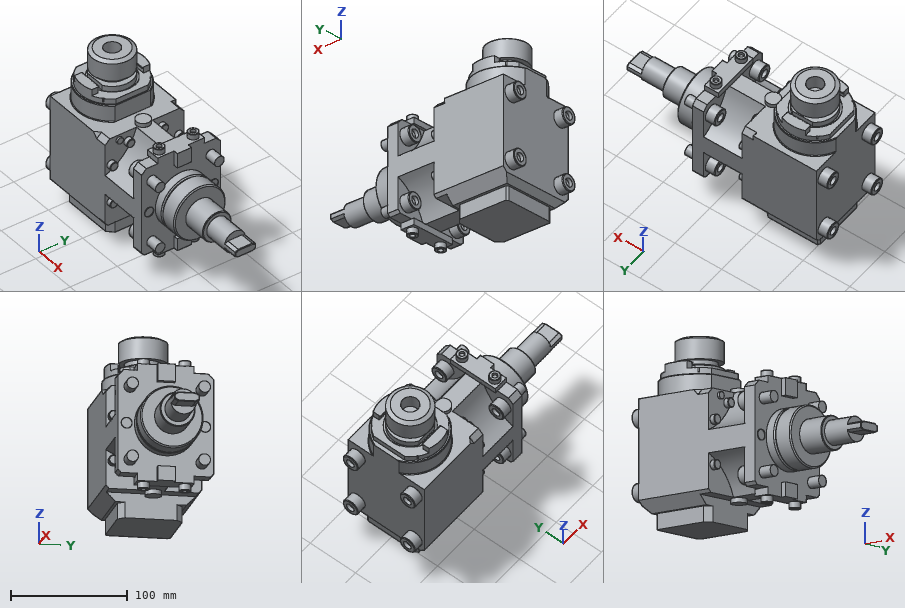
import cadquery as cq
import math


half_width = 84.0 / 2
housing_top = 47.4
rear_bottom = -44.3
bottom_edge_z = -41.5
head_bottom = -52.3
head_end = 67.7
housing_end = 79.8
front_bevel_length = 5.5
front_bevel_height = 6.6
top_chamfer = 5.0

flange_start = 120.8
flange_end = 132.8
web_half_width = 8.5
web_half_height = 10.2
relief_radius = 59.2

foot_start = 7.5
foot_half_width = 28.5
foot_bottom = -66.3
foot_front_chamfer = (1.7, 2.5)
foot_rear_chamfer = (5.7, 5.7)

spindle_x = 32.7
collar_radius = 35.5
collar_base_flare = 0.7
collar_top = 64.6
collar_chamfer = 0.7
collar_rear_flat = 62.8
ring_radius = 33.5
ring_top = 70.0
ring_half_flats = 28.7
boss_radius = 42.5 / 2
boss_half_flats = 36.7 / 2
boss_top = 74.5
groove_radius = 23.2
groove_depth = 1.2
key_width = 25.0
key_top = 76.5
key_lip = 1.2
key_inner_y = 23.0
key_relief_y = 24.2
notch_width = 1.2
notch_height = 3.5
notch_depth = 0.7
notch_angle = 50.0
nut_neck_radius = 32.5 / 2
nut_neck_taper = 1.2
nut_radius = 42.5 / 2
nut_bottom = 80.3
nut_top = 100.6
nut_chamfer_width = 4.0
nut_chamfer_height = 2.1
nut_bore_radius = 16.3 / 2
nut_bore_depth = 14.2

pilot_radius = 27.5
pilot_end = 160.3
pilot_chamfer = 1.2
pilot_groove_start = 141.1
pilot_groove_end = 144.0
pilot_groove_depth = 1.0
journal_radius = 30.5 / 2
journal_end = 185.2
journal_chamfer = 0.7
shaft_radius = 11.1
shaft_end = 211.0
tang_end = 226.5
tang_half_height = 4.0
tang_half_face = 15.0 / 2
tang_half_edge = 2.1
tang_end_chamfer = 0.7

socket_cone_slope = 0.6
screw_y = 31.5
screw_z = 32.5
screw_head_radius = 8.3
screw_head_length = 10.2
screw_head_chamfer = 0.7
screw_socket_radius = 8.3 / 2
screw_socket_depth = 3.5
screw_tail_radius = 10.2 / 2
screw_tail_end = 145.5

cover_screw_circle = 41.0
cover_screw_radius = 4.3
cover_screw_length = 5.0
cover_screw_chamfer = 0.5
cover_screw_angles = (29, 64, 116, 151, 209, 331)
plug_radius = 6.5 / 2
plug_length = 2.1
plug_place = (-27.2, 42.2)

dowel_x = 77.7
dowel_radius = 14.5 / 2
dowel_protrusion = 4.0
side_pin_y = 34.3
side_pin_radius = 4.7
side_pin_protrusion = 0.7

bar_start = 118.0
bar_half_length = 24.9
bar_top = 53.3
bar_bottom = -50.7
tab_end = 137.5
tab_half_width = 7.5
tab_inner_z = 38.0
bar_screw_x = 125.5
bar_screw_y = 36.2 / 2
bar_screw_radius = 5.2
bar_screw_protrusion = 5.7
bar_screw_chamfer = 0.5
bar_screw_socket_radius = 2.5
bar_screw_socket_depth = 2.8

overlap = 1.2


def box(x0, x1, y0, y1, z0, z1):
    return cq.Workplane("XY").box(x1 - x0, y1 - y0, z1 - z0, centered=False).translate((x0, y0, z0))


def rod_x(radius, x0, x1, y=0.0, z=0.0):
    return cq.Workplane("YZ", origin=(x0, y, z)).circle(radius).extrude(x1 - x0)


def rod_z(radius, z0, z1, x, y=0.0):
    return cq.Workplane("XY", origin=(x, y, z0)).circle(radius).extrude(z1 - z0)


def socket(radius, depth):
    """Round socket with a conical bottom, opening at the origin and running along +X."""
    return (
        cq.Workplane("XY")
        .polyline([(0, 0), (0, radius), (depth, radius), (depth + radius * socket_cone_slope, 0)])
        .close()
        .revolve(360, (0, 0, 0), (1, 0, 0))
    )


def corners(y, z):
    return [(sy * y, sz * z) for sy in (-1, 1) for sz in (-1, 1)]


def body_section(bottom):
    """Cross section in Y and Z with 45 degree bottom edges ending at the given height."""
    bottom_half_width = half_width - (bottom_edge_z - bottom)
    return [
        (-half_width, housing_top),
        (half_width, housing_top),
        (half_width, bottom_edge_z),
        (bottom_half_width, bottom),
        (-bottom_half_width, bottom),
        (-half_width, bottom_edge_z),
    ]


def body_prism(x0, x1, bottom):
    return cq.Workplane("YZ", origin=(x0, 0, 0)).polyline(body_section(bottom)).close().extrude(x1 - x0)


def top_edge_prism(side):
    """Chamfer cutter for one top long edge, from the end of the head to the end of the flange."""
    return (
        cq.Workplane("YZ", origin=(head_end, 0, 0))
        .moveTo(side * half_width, housing_top)
        .lineTo(side * (half_width - top_chamfer), housing_top)
        .lineTo(side * half_width, housing_top - top_chamfer)
        .close()
        .extrude(flange_end - head_end)
    )


def make_runout():
    """Tetrahedron that ends the chamfer at -Y on a sloped triangle."""
    corner = cq.Vector(head_end, -half_width, housing_top)
    tip = corner + cq.Vector(-top_chamfer, 0, 0)
    inner = corner + cq.Vector(0, top_chamfer, 0)
    lower = corner + cq.Vector(0, 0, -top_chamfer)
    triangles = [(corner, tip, inner), (corner, lower, tip), (corner, inner, lower), (tip, lower, inner)]
    faces = [cq.Face.makeFromWires(cq.Wire.makePolygon(points, close=True)) for points in triangles]
    return cq.Workplane(cq.Solid.makeSolid(cq.Shell.makeShell(faces)))


def make_neck_relief():
    """Concave cutter for the neck corner at +Y +Z."""
    top = (web_half_width, housing_top)
    side = (half_width, web_half_height)
    chord = math.dist(top, side)
    sag = relief_radius - math.sqrt(relief_radius ** 2 - (chord / 2) ** 2)
    middle = (
        (top[0] + side[0]) / 2 - sag * (top[1] - side[1]) / chord,
        (top[1] + side[1]) / 2 - sag * (side[0] - top[0]) / chord,
    )
    far = half_width + overlap
    high = housing_top + overlap
    return (
        cq.Workplane("YZ", origin=(housing_end, 0, 0))
        .moveTo(*top)
        .threePointArc(middle, side)
        .lineTo(far, web_half_height)
        .lineTo(far, high)
        .lineTo(web_half_width, high)
        .close()
        .extrude(flange_start - housing_end)
    )


def make_housing():
    head = body_prism(0, head_end, head_bottom)
    bevel = (
        cq.Workplane("XZ")
        .moveTo(0, head_bottom)
        .lineTo(front_bevel_length, head_bottom)
        .lineTo(0, head_bottom + front_bevel_height)
        .close()
        .extrude(half_width, both=True)
    )
    body = head.cut(bevel).union(body_prism(0, flange_end, rear_bottom))
    body = body.cut(top_edge_prism(-1)).cut(top_edge_prism(1)).cut(make_runout())
    relief = make_neck_relief()
    for cutter in (relief, relief.mirror("XZ")):
        body = body.cut(cutter).cut(cutter.mirror("XY"))
    return body


def make_foot():
    dx_front, dy_front = foot_front_chamfer
    dx_rear, dy_rear = foot_rear_chamfer
    half = [
        (foot_start, foot_half_width - dy_front),
        (foot_start + dx_front, foot_half_width),
        (head_end - dx_rear, foot_half_width),
        (head_end, foot_half_width - dy_rear),
    ]
    outline = half + [(x, -y) for x, y in reversed(half)]
    height = head_bottom + overlap - foot_bottom
    return cq.Workplane("XY", origin=(0, 0, foot_bottom)).polyline(outline).close().extrude(height)


def make_collar():
    collar = rod_z(collar_radius, housing_top - overlap, collar_top, spindle_x)
    collar = collar.faces(">Z").chamfer(collar_chamfer)
    flare_top = housing_top + collar_base_flare
    flare = rod_z(collar_radius + collar_base_flare, housing_top - overlap, flare_top, spindle_x)
    flare = flare.faces(">Z").chamfer(collar_base_flare)
    collar = collar.union(flare)
    return collar.intersect(box(0, collar_rear_flat, -half_width, half_width, 0, nut_top))


def make_ring():
    """Flatted disc with a central boss, two driving keys and four rim notches."""
    ring = rod_z(ring_radius, collar_top - overlap, key_top, spindle_x)
    ring = ring.intersect(
        box(spindle_x - ring_half_flats, spindle_x + ring_half_flats, -half_width, half_width, 0, nut_top)
    )
    for side in (-1, 1):
        edge = spindle_x + side * key_width / 2
        outer = spindle_x + side * half_width
        ring = ring.cut(
            box(min(edge, outer), max(edge, outer), -half_width, half_width, ring_top, key_top)
        )
    for inner_y, top in ((key_inner_y, key_top), (key_relief_y, key_top - key_lip)):
        ring = ring.cut(
            box(spindle_x - half_width, spindle_x + half_width, -inner_y, inner_y, ring_top, top)
        )
    ring = ring.cut(rod_z(groove_radius, ring_top - groove_depth, ring_top, spindle_x))
    boss = rod_z(boss_radius, ring_top - groove_depth - overlap, boss_top, spindle_x)
    boss = boss.intersect(
        box(0, 2 * spindle_x, -boss_half_flats, boss_half_flats, 0, nut_top)
    )
    ring = ring.union(boss)
    for angle in (notch_angle, 180 - notch_angle, 180 + notch_angle, -notch_angle):
        notch = box(
            ring_radius - notch_depth, ring_radius + overlap,
            -notch_width / 2, notch_width / 2,
            ring_top - notch_height, ring_top,
        )
        ring = ring.cut(notch.rotate((0, 0, 0), (0, 0, 1), angle).translate((spindle_x, 0, 0)))
    return ring


def make_nut():
    profile = [
        (0, boss_top - overlap),
        (nut_neck_radius - nut_neck_taper, boss_top - overlap),
        (nut_neck_radius - nut_neck_taper, boss_top),
        (nut_neck_radius, key_top),
        (nut_neck_radius, nut_bottom),
        (nut_radius, nut_bottom),
        (nut_radius, nut_top - nut_chamfer_height),
        (nut_radius - nut_chamfer_width, nut_top),
        (0, nut_top),
    ]
    nut = cq.Workplane("XZ").polyline(profile).close().revolve(360, (0, 0, 0), (0, 1, 0))
    nut = nut.translate((spindle_x, 0, 0))
    return nut.cut(rod_z(nut_bore_radius, nut_top - nut_bore_depth, nut_top, spindle_x))


def make_shaft():
    pilot = rod_x(pilot_radius, flange_end - overlap, pilot_end).faces(">X").chamfer(pilot_chamfer)
    groove = (
        cq.Workplane("XY")
        .moveTo(pilot_groove_start, pilot_radius)
        .lineTo((pilot_groove_start + pilot_groove_end) / 2, pilot_radius - pilot_groove_depth)
        .lineTo(pilot_groove_end, pilot_radius)
        .close()
        .revolve(360, (0, 0, 0), (1, 0, 0))
    )
    journal = rod_x(journal_radius, pilot_end - overlap, journal_end).faces(">X").chamfer(journal_chamfer)
    shaft = rod_x(shaft_radius, journal_end - overlap, shaft_end)
    tang_section = [
        (-shaft_radius, tang_half_edge),
        (-tang_half_face, tang_half_height),
        (tang_half_face, tang_half_height),
        (shaft_radius, tang_half_edge),
        (shaft_radius, -tang_half_edge),
        (tang_half_face, -tang_half_height),
        (-tang_half_face, -tang_half_height),
        (-shaft_radius, -tang_half_edge),
    ]
    tang = (
        cq.Workplane("YZ", origin=(shaft_end - overlap, 0, 0))
        .polyline(tang_section)
        .close()
        .extrude(tang_end - shaft_end + overlap)
        .intersect(rod_x(shaft_radius, 0, tang_end))
        .faces(">X")
        .chamfer(tang_end_chamfer)
    )
    return pilot.cut(groove).union(journal).union(shaft).union(tang)


def make_screw_head(seat_x, y, z):
    """Socket head facing -X, resting on a face at seat_x."""
    top = seat_x - screw_head_length
    head = rod_x(screw_head_radius, top, seat_x + overlap, y, z).faces("<X").chamfer(screw_head_chamfer)
    return head.cut(socket(screw_socket_radius, screw_socket_depth).translate((top, y, z)))


def make_bar(seat, outer):
    """Clamp bar between two heights, with its tab over the flange and two socket screws."""
    bar = box(bar_start, flange_end, -bar_half_length, bar_half_length, seat, outer)
    bar = bar.union(
        box(flange_end - overlap, tab_end, -tab_half_width, tab_half_width, tab_inner_z, outer)
    )
    screw_top = outer + bar_screw_protrusion
    for y in (-bar_screw_y, bar_screw_y):
        screw = rod_z(bar_screw_radius, seat, screw_top, bar_screw_x, y)
        bar = bar.union(screw.faces(">Z").chamfer(bar_screw_chamfer))
        downward = socket(bar_screw_socket_radius, bar_screw_socket_depth).rotate((0, 0, 0), (0, 1, 0), 90)
        bar = bar.cut(downward.translate((bar_screw_x, y, screw_top)))
    return bar


result = make_housing().union(make_foot())
result = result.union(make_collar()).union(make_ring()).union(make_nut()).union(make_shaft())

for y, z in corners(screw_y, screw_z):
    result = result.union(make_screw_head(0, y, z))
    result = result.union(make_screw_head(flange_start, y, z))
    result = result.union(rod_x(screw_tail_radius, flange_end - overlap, screw_tail_end, y, z))

for angle in cover_screw_angles:
    y = cover_screw_circle * math.cos(math.radians(angle))
    z = cover_screw_circle * math.sin(math.radians(angle))
    cover_screw = rod_x(cover_screw_radius, housing_end - overlap, housing_end + cover_screw_length, y, z)
    result = result.union(cover_screw.faces(">X").chamfer(cover_screw_chamfer))
plug_y, plug_z = plug_place
result = result.union(rod_x(plug_radius, housing_end - overlap, housing_end + plug_length, plug_y, plug_z))

result = result.union(
    rod_z(dowel_radius, rear_bottom - dowel_protrusion, housing_top + dowel_protrusion, dowel_x)
)
for y in (-side_pin_y, side_pin_y):
    result = result.union(rod_x(side_pin_radius, flange_end - overlap, flange_end + side_pin_protrusion, y))

result = result.union(make_bar(housing_top, bar_top))
result = result.union(make_bar(-rear_bottom, -bar_bottom).mirror("XY"))